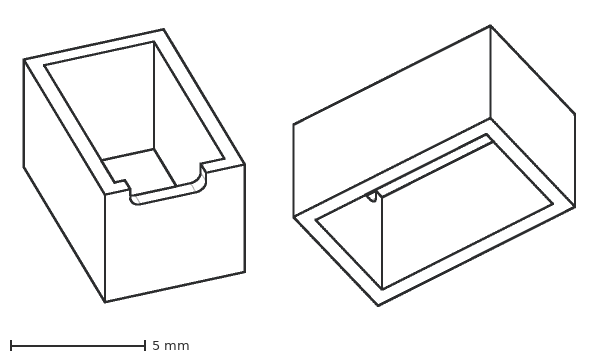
import cadquery as cq

length = 8.92
width = 5.54
height = 5.0
wall = 0.6

notch_width = 3.0
notch_depth = 0.8
notch_radius = 0.4
notch_offset = 1.01


def make_sleeve():
    outer = cq.Workplane("XY").box(length, width, height)
    return outer.faces(">Z").workplane().rect(length - 2 * wall, width - 2 * wall).cutThruAll()


def make_notch_cutter():
    """Notch through one wall, with rounded bottom corners."""
    center_y = -width / 2 + notch_offset + notch_width / 2
    return (
        cq.Workplane("XY")
        .box(wall, notch_width, 2 * notch_depth)
        .edges("|X and <Z")
        .fillet(notch_radius)
        .translate((length / 2 - wall / 2, center_y, height / 2))
    )


result = make_sleeve().cut(make_notch_cutter())